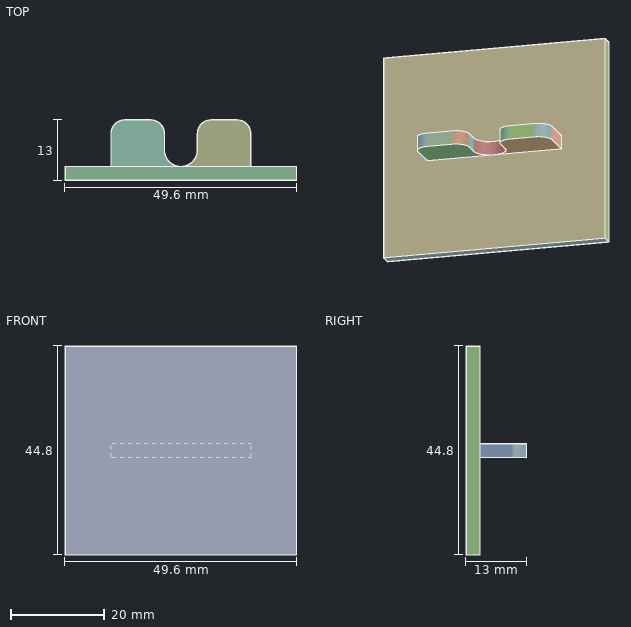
import cadquery as cq

plate_width = 49.6
plate_height = 44.8
plate_thickness = 3.0

lug_width = 30.0
lug_reach = 10.0
lug_thickness = 3.0
corner_radius = 3.0

slot_width = 7.0
slot_radius = slot_width / 2


def make_plate():
    """Plate with its rear face on Y = 0, centred on X and Z."""
    return (
        cq.Workplane("XY", origin=(0, -plate_thickness, 0))
        .box(plate_width, plate_thickness, plate_height, centered=(True, False, True))
    )


def make_prong(side):
    """Half of the lug: side is -1 for the -X half and +1 for the +X half."""
    inner_x = side * slot_radius
    outer_x = side * lug_width / 2
    return (
        cq.Workplane("XY", origin=(0, 0, -lug_thickness / 2))
        .moveTo(0, 0)
        .lineTo(outer_x, 0)
        .lineTo(outer_x, lug_reach)
        .lineTo(inner_x, lug_reach)
        .lineTo(inner_x, slot_radius)
        .tangentArcPoint((0, 0), relative=False)
        .close()
        .extrude(lug_thickness)
        .edges("|Z and >Y")
        .fillet(corner_radius)
    )


result = make_plate()
for side in (-1, 1):
    result = result.union(make_prong(side))